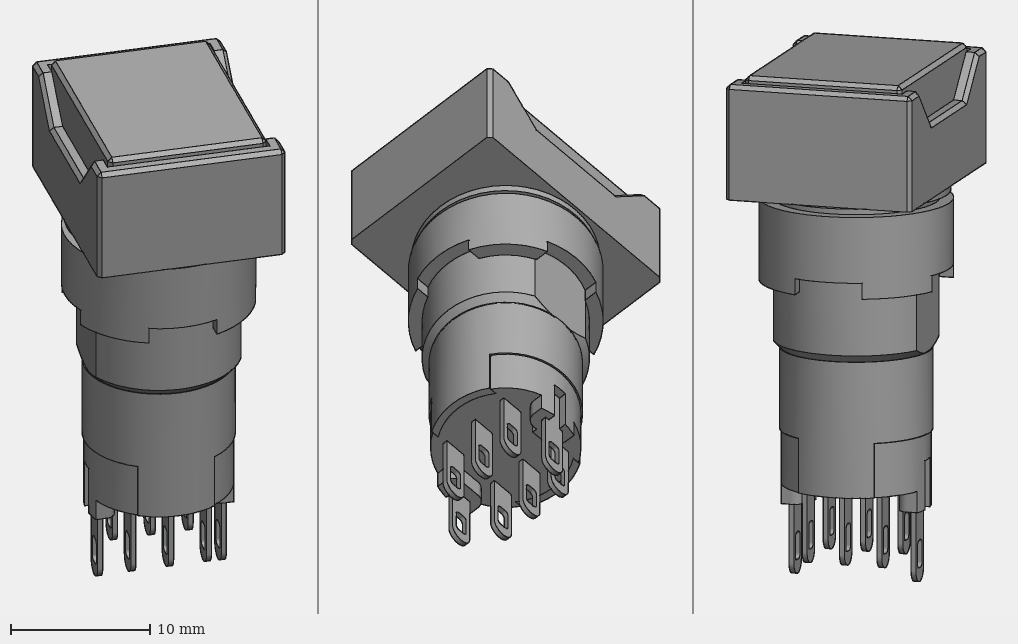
import cadquery as cq

SHORT_TIP_Z = 1.4
TAB_BOTTOM_Z = 5.4
BARREL_BOTTOM_Z = 6.95
SLOT_TOP_Z = 9.0
WINDOW_TOP_Z = 10.95
SLEEVE_BOTTOM_Z = 16.95
NUT_BOTTOM_Z = 21.9
NUT_TOP_Z = 27.9
COLLAR_BOTTOM_Z = 28.45
BEZEL_BOTTOM_Z = 29.07
NOTCH_FLOOR_Z = 34.58
BEZEL_TOP_Z = 37.5
BUTTON_TOP_Z = 38.0

BEZEL_LENGTH = 18.0
BEZEL_WIDTH = 14.0
EDGE_CHAMFER = 0.3
NOTCH_FLOOR_LENGTH = 8.05
POCKET_LENGTH = 16.1
POCKET_WIDTH = 12.1
POCKET_FLOOR_Z = 33.45
BUTTON_GAP = 0.15

COLLAR_RADIUS = 6.8
SLEEVE_RADIUS = 6.0
SLEEVE_FLAT_Y = 5.4
SLEEVE_CHAMFER = 0.57
BARREL_RADIUS = 5.5

NUT_RADIUS = 7.0
NOTCH_WIDTH = 5.05
NOTCH_HEIGHT = 1.18

PLUG_RADIUS = 4.95
BASE_RADIUS = 5.4
WINDOW_Y = 2.85
TAB_WIDTH = 3.4
TAB_INNER_Y = 3.57
TAB_CORNER_RADIUS = 0.8
SLOT_WIDTH = 1.1
KEY_INNER_Y = 3.2

TERMINAL_WIDTH = 1.8
TERMINAL_THICKNESS = 0.38
EYE_WIDTH = 1.03
EYE_HEIGHT = 2.0
EYE_BOTTOM = 1.03
EYE_CORNER = 0.3
LONG_Y = 4.6
SHORT_X = 2.47
SHORT_Y = 2.8


def block(x_size, y_size, z_bottom, z_top, x=0, y=0):
    """Box centred on (x, y) between two heights."""
    box = cq.Workplane("XY").box(x_size, y_size, z_top - z_bottom, centered=(True, True, False))
    return box.translate((x, y, z_bottom))


def disc(radius, z_bottom, z_top):
    """Cylinder on the part's axis between two heights."""
    return cq.Workplane("XY").workplane(offset=z_bottom).circle(radius).extrude(z_top - z_bottom)


def make_bezel():
    """Chamfered rectangular frame with a 45 degree notch across its top and a pocket."""
    bezel = block(BEZEL_LENGTH, BEZEL_WIDTH, BEZEL_BOTTOM_Z, BEZEL_TOP_Z)
    half_floor = NOTCH_FLOOR_LENGTH / 2
    half_mouth = half_floor + BEZEL_TOP_Z - NOTCH_FLOOR_Z
    notch = (
        cq.Workplane("XZ")
        .polyline([
            (-half_mouth, BEZEL_TOP_Z),
            (-half_floor, NOTCH_FLOOR_Z),
            (half_floor, NOTCH_FLOOR_Z),
            (half_mouth, BEZEL_TOP_Z),
        ])
        .close()
        .extrude(BEZEL_WIDTH, both=True)
    )
    bezel = bezel.cut(notch).faces("<X or >X or <Y or >Y").edges("not <Z").chamfer(EDGE_CHAMFER)
    return bezel.cut(block(POCKET_LENGTH, POCKET_WIDTH, POCKET_FLOOR_Z, BEZEL_TOP_Z))


def make_sleeve():
    """Sleeve with two flats and a chamfered lower end."""
    sleeve = disc(SLEEVE_RADIUS, SLEEVE_BOTTOM_Z, COLLAR_BOTTOM_Z).faces("<Z").chamfer(SLEEVE_CHAMFER)
    return sleeve.intersect(
        block(2 * SLEEVE_RADIUS, 2 * SLEEVE_FLAT_Y, SLEEVE_BOTTOM_Z, COLLAR_BOTTOM_Z)
    )


def make_barrel():
    """Barrel with a bore for the contact base and a window in the wall on each Y side."""
    barrel = disc(BARREL_RADIUS, BARREL_BOTTOM_Z, SLEEVE_BOTTOM_Z)
    barrel = barrel.cut(disc(PLUG_RADIUS, BARREL_BOTTOM_Z, WINDOW_TOP_Z))
    wall = block(2 * BARREL_RADIUS, 2 * BARREL_RADIUS, BARREL_BOTTOM_Z, WINDOW_TOP_Z)
    kept_wall = block(2 * BARREL_RADIUS, 2 * WINDOW_Y, BARREL_BOTTOM_Z, WINDOW_TOP_Z)
    return barrel.cut(wall.cut(kept_wall))


def make_housing():
    """Bezel, collar, sleeve and barrel in one piece."""
    housing = make_bezel().union(disc(COLLAR_RADIUS, COLLAR_BOTTOM_Z, BEZEL_BOTTOM_Z))
    return housing.union(make_sleeve()).union(make_barrel())


def make_button():
    """Button that fills the pocket with a small gap all round."""
    return (
        block(POCKET_LENGTH - 2 * BUTTON_GAP, POCKET_WIDTH - 2 * BUTTON_GAP, POCKET_FLOOR_Z, BUTTON_TOP_Z)
        .edges("|Z or >Z")
        .chamfer(EDGE_CHAMFER)
    )


def make_nut():
    """Ring nut with four notches in its lower edge."""
    nut = disc(NUT_RADIUS, NUT_BOTTOM_Z, NUT_TOP_Z)
    notch_top_z = NUT_BOTTOM_Z + NOTCH_HEIGHT
    nut = nut.cut(block(2 * NUT_RADIUS, NOTCH_WIDTH, NUT_BOTTOM_Z, notch_top_z))
    nut = nut.cut(block(NOTCH_WIDTH, 2 * NUT_RADIUS, NUT_BOTTOM_Z, notch_top_z))
    return nut.cut(disc(SLEEVE_RADIUS, NUT_BOTTOM_Z, NUT_TOP_Z))


def make_terminal(x, y, tip_z):
    """Flat solder terminal with a round tip and an eye, reaching up into the contact base."""
    tip_radius = TERMINAL_WIDTH / 2
    tip_centre_z = tip_z + tip_radius
    blade = block(TERMINAL_WIDTH, TERMINAL_THICKNESS, tip_centre_z, SLOT_TOP_Z, x, y)
    tip = (
        cq.Workplane("XZ", origin=(x, y, tip_centre_z))
        .circle(tip_radius)
        .extrude(TERMINAL_THICKNESS / 2, both=True)
    )
    eye_bottom_z = tip_z + EYE_BOTTOM
    eye = block(EYE_WIDTH, TERMINAL_THICKNESS, eye_bottom_z, eye_bottom_z + EYE_HEIGHT, x, y)
    return blade.union(tip).cut(eye.edges("|Y").fillet(EYE_CORNER))


def make_plug():
    """Round core that fills the bore, with an arc of wall filling the window on each Y side."""
    wall_arcs = disc(BASE_RADIUS, BARREL_BOTTOM_Z, WINDOW_TOP_Z).cut(
        block(2 * BASE_RADIUS, 2 * WINDOW_Y, BARREL_BOTTOM_Z, WINDOW_TOP_Z)
    )
    return disc(PLUG_RADIUS, BARREL_BOTTOM_Z, WINDOW_TOP_Z).union(wall_arcs)


def make_tab():
    """Downward tab on the +Y side: curved outer face, rounded inner corners."""
    depth = BASE_RADIUS - TAB_INNER_Y
    tab = block(TAB_WIDTH, depth, TAB_BOTTOM_Z, WINDOW_TOP_Z, y=TAB_INNER_Y + depth / 2)
    tab = tab.edges("|Z and <Y").fillet(TAB_CORNER_RADIUS)
    return tab.intersect(disc(BASE_RADIUS, TAB_BOTTOM_Z, WINDOW_TOP_Z))


def make_key():
    """Small rib on the inner face of the +Y tab only."""
    depth = TAB_INNER_Y - KEY_INNER_Y
    return block(SLOT_WIDTH, depth, TAB_BOTTOM_Z, BARREL_BOTTOM_Z, y=KEY_INNER_Y + depth / 2)


def make_slot(side):
    """Slot in the outer face of a tab, open at its lower end, that bares the long terminal."""
    depth = BASE_RADIUS - LONG_Y
    return block(SLOT_WIDTH, depth, TAB_BOTTOM_Z, SLOT_TOP_Z, y=side * (LONG_Y + depth / 2))


def make_contact_base():
    """Contact base in one piece with its two long and six short terminals."""
    tab = make_tab()
    base = make_plug().union(tab).union(tab.mirror("XZ")).union(make_key())
    for side in (-1, 1):
        base = base.cut(make_slot(side)).union(make_terminal(0, side * LONG_Y, 0))
    for x in (-SHORT_X, SHORT_X):
        for y in (-SHORT_Y, 0, SHORT_Y):
            base = base.union(make_terminal(x, y, SHORT_TIP_Z))
    return base


housing = make_housing().solids()
button = make_button().solids()
nut = make_nut().solids()
contact_base = make_contact_base().solids()

result = cq.Compound.makeCompound([housing.val(), button.val(), nut.val(), contact_base.val()])